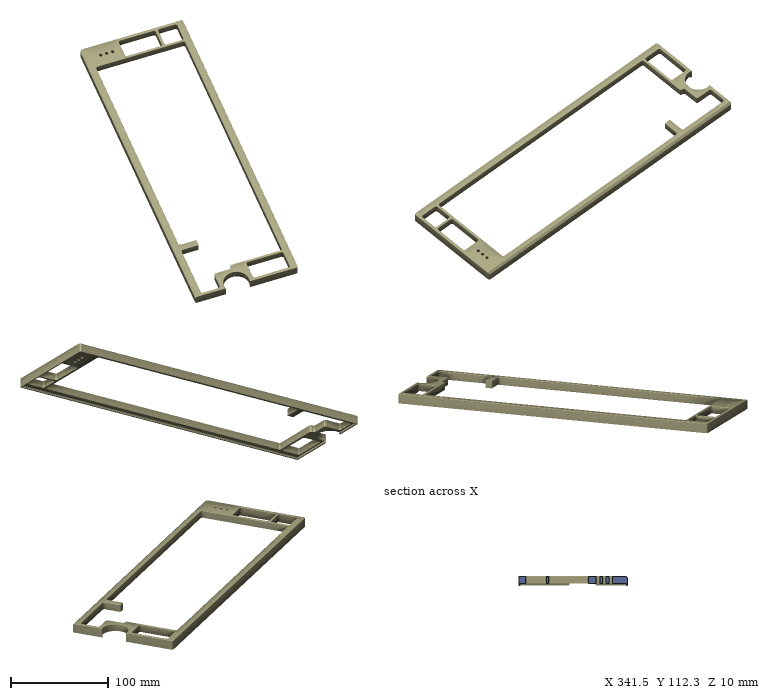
import cadquery as cq
length = 341.5
width = 112.3
thickness = 10.0
side_wall = 3.25
back_rail = 7.5
front_rail = 7.5
rib = 2.7

outer_corner_radius = 1.6
inner_corner_radius = 2.0
top_edge_radius = 0.4
bevel_depth = 2.5
bevel_height = 1.7

recess_depth = 2.22
rim_thickness = 1.55

left_window_width = 20.8
small_window_length = 20.8
large_window_length = 40.3
hole_diameter = 3.3
hole_pitch = 6.5
hole_count = 3
middle_hole_y = 24.2

right_window_width = 20.8
right_window_length = 40.3
notch_radius = 13.5
notch_center_x = 338.0
notch_center_y = 46.5
step_x = 319.2
step_y = 47.8
foot_y = 28.5

tab_left = 272.0
tab_width = 7.0
tab_top = 26.5

window_top = width - back_rail
large_window_top = window_top - small_window_length - rib
left_window_right = side_wall + left_window_width
right_window_right = length - side_wall
right_window_left = right_window_right - right_window_width
opening_left = left_window_right + rib
opening_right = right_window_left - rib


def make_plate():
    """Full plate with rounded upright corners and a bevel along the front top edge."""
    plate = cq.Workplane("XY").box(length, width, thickness, centered=False)
    plate = plate.edges("|Z").fillet(outer_corner_radius)
    bevel = (
        cq.Workplane("YZ")
        .polyline([(0, thickness), (bevel_depth, thickness), (0, thickness - bevel_height)])
        .close()
        .extrude(length)
    )
    return plate.cut(bevel)


def make_window(left, top, window_width, window_length):
    """Through cutter for a rectangular window with rounded corners."""
    return (
        cq.Workplane("XY")
        .box(window_width, window_length, thickness, centered=False)
        .edges("|Z")
        .fillet(inner_corner_radius)
        .translate((left, top - window_length, 0))
    )


def make_main_opening():
    """Through cutter for the large opening, stepped on the right, leaving the tab standing."""
    tab_right = tab_left + tab_width
    outline = [
        (opening_left, window_top),
        (opening_right, window_top),
        (opening_right, step_y),
        (step_x, step_y),
        (step_x, foot_y),
        (right_window_right, foot_y),
        (right_window_right, front_rail),
        (tab_right, front_rail),
        (tab_right, tab_top),
        (tab_left, tab_top),
        (tab_left, front_rail),
        (opening_left, front_rail),
    ]
    opening = cq.Workplane("XY").polyline(outline).close().extrude(thickness)
    tab_tip = cq.selectors.BoxSelector(
        (tab_left - rib, tab_top - rib, -3.5), (tab_right + rib, tab_top + rib, thickness + 3.5)
    )
    upright_edges = cq.selectors.ParallelDirSelector(cq.Vector(0, 0, 1))
    rounded_edges = cq.selectors.SubtractSelector(upright_edges, tab_tip)
    return opening.edges(rounded_edges).fillet(inner_corner_radius)


def make_notch():
    """Through cutter for the round notch that opens through the right side."""
    return (
        cq.Workplane("XY")
        .center(notch_center_x, notch_center_y)
        .circle(notch_radius)
        .extrude(thickness)
    )


def make_holes():
    """Through cutters for the row of small holes, centred below the left windows."""
    return (
        cq.Workplane("XY")
        .center(side_wall + left_window_width / 2, middle_hole_y)
        .rarray(3.5, hole_pitch, 1, hole_count)
        .circle(hole_diameter / 2)
        .extrude(thickness)
    )


def make_underside_recess():
    """Shallow cutter that leaves a thin rim standing below the outer sides."""
    recess_length = length - 2 * rim_thickness
    recess_width = width - 2 * rim_thickness
    return (
        cq.Workplane("XY")
        .box(recess_length, recess_width, recess_depth, centered=False)
        .translate((rim_thickness, rim_thickness, 0))
    )


frame = (
    make_plate()
    .cut(make_main_opening())
    .cut(make_window(side_wall, window_top, left_window_width, small_window_length))
    .cut(make_window(side_wall, large_window_top, left_window_width, large_window_length))
    .cut(make_window(right_window_left, window_top, right_window_width, right_window_length))
    .cut(make_notch())
    .cut(make_holes())
)

frame = frame.faces(">Z").edges("not <Y").fillet(top_edge_radius)

result = frame.cut(make_underside_recess())